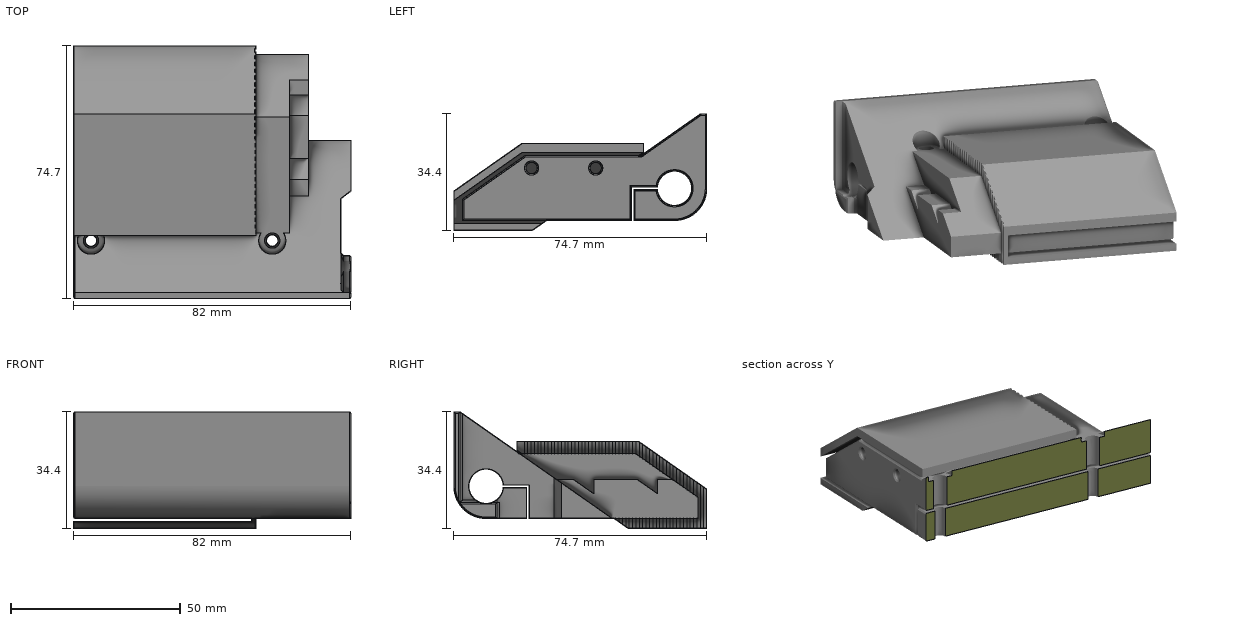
import cadquery as cq
import math

block_length = 82.0
cover_length = 53.9
total_depth = 74.7
total_height = 34.4
slope_rise = math.tan(math.radians(35.0))
edge_chamfer = 0.4

block_bottom = 2.95
block_top = 22.1
block_back = 72.2
rim_thickness = 1.8
ridge_y = 53.7
block_back_z = block_top - (block_back - ridge_y) * slope_rise

corner_radius = 9.5
bore_diameter = 10.2
bore_y = corner_radius
bore_z = block_bottom + corner_radius
slit_width = 0.7
slit_y = 21.9

tall_end = 63.8
ledge_end = 69.45
ledge_z = 14.5
groove_front_ys = [35.3, 54.1]
groove_length = 6.1

recess_x = 79.0
recess_floor = 7.6
recess_corner = 0.8
lug_back = 12.7
recess_back_inner = 29.5
recess_back_outer = 31.8

thread_diameter = 3.4
clearance_diameter = 4.5
spotface_diameter = 8.0
clamp_screw_xs = [5.2, 58.7]
clamp_screw_y = 17.1
side_hole_ys = [32.8, 51.75]
side_hole_z = 18.45
side_hole_depth = 9.8

cover_top = 25.75
cover_plate = 2.7
cover_ridge_y = 54.5
cover_front_y = 18.6
foot_plate = 2.05
wall_thickness = 1.2
wall_setback = 0.6
notch_count = 27
notch_pitch = 2.0
notch_width = 1.0
notch_depth = 0.3
first_notch_y = 73.3


def ramp_y(z):
    """Y of the front ramp plane at a given height."""
    return rim_thickness + (total_height - z) / slope_rise


def wall_front_y(z):
    """Y of the front edge of the cover's wall and foot plate at a given height."""
    return ramp_y(z) + wall_setback


def back_slope_y(z):
    """Y of the block's back slope at a given height."""
    return ridge_y + (block_top - z) / slope_rise


def prism(points, x_start, x_end):
    """Extrude a Y-Z outline from x_start to x_end."""
    return cq.Workplane("YZ", origin=(x_start, 0, 0)).polyline(points).close().extrude(x_end - x_start)


def box(x_range, y_range, z_range):
    """Axis-aligned box from its low and high limits."""
    size = [high - low for low, high in (x_range, y_range, z_range)]
    corner = (x_range[0], y_range[0], z_range[0])
    return cq.Workplane("XY").box(*size, centered=False).translate(corner)


def round_front_corner(body):
    """Round the lower front edge concentric with the clamp bore."""
    front_corner = cq.selectors.NearestToPointSelector((block_length / 2, 0, block_bottom))
    return body.edges("|X").edges(front_corner).fillet(corner_radius)


def bevel_points(level):
    """Small 45 degree triangle filling an inner corner of the recess at the given level."""
    return [
        (recess_x, level),
        (recess_x + recess_corner, level),
        (recess_x, level + recess_corner),
    ]


def make_tall_section():
    """Full-height profile with the front wall, ramp, flat top and back slope."""
    outline = [
        (0, block_bottom),
        (0, total_height),
        (rim_thickness, total_height),
        (ramp_y(block_top), block_top),
        (ridge_y, block_top),
        (block_back, block_back_z),
        (block_back, block_bottom),
    ]
    return prism(outline, 0, tall_end)


def make_ramp_wedge():
    """Wedge under the ramp, running the whole length of the block."""
    outline = [
        (0, block_bottom),
        (0, total_height),
        (rim_thickness, total_height),
        (ramp_y(block_bottom), block_bottom),
    ]
    return prism(outline, 0, block_length)


def make_ledge():
    """Low ledge between ramp and back slope, with sawtooth grooves that have an upright back side."""
    outline = [
        (ramp_y(ledge_z), block_bottom),
        (ramp_y(ledge_z), ledge_z),
        (back_slope_y(ledge_z), ledge_z),
        (block_back, block_back_z),
        (block_back, block_bottom),
    ]
    ledge = prism(outline, tall_end, ledge_end)
    for front in groove_front_ys:
        back = front + groove_length
        groove = [(front, ledge_z), (back, ledge_z), (back, ledge_z - groove_length * slope_rise)]
        ledge = ledge.cut(prism(groove, tall_end, ledge_end))
    return ledge


def make_clamp_cut():
    """Through bore and the L-shaped slit that frees the clamp jaw."""
    bore = (
        cq.Workplane("YZ")
        .center(bore_y, bore_z)
        .circle(bore_diameter / 2)
        .extrude(block_length)
    )
    half = slit_width / 2
    level_slit = box((0, block_length), (bore_y, slit_y + half), (bore_z - half, bore_z + half))
    upright_slit = box((0, block_length), (slit_y - half, slit_y + half), (block_bottom, bore_z + half))
    return bore.union(level_slit).union(upright_slit)


def make_recess():
    """Clearance that takes away the +X end of the ramp, up to a slanted back side."""
    plan = [
        (block_length, 0),
        (recess_x, 0),
        (recess_x, recess_back_inner),
        (block_length, recess_back_outer),
    ]
    return cq.Workplane("XY").polyline(plan).close().extrude(total_height)


def lug_outline(x):
    """Closed Y-Z outline of the lug in the plane at x."""
    return (
        cq.Workplane("YZ", origin=(x, 0, 0))
        .moveTo(0, bore_z)
        .radiusArc((bore_y, block_bottom), -corner_radius)
        .lineTo(lug_back, block_bottom)
        .lineTo(lug_back, recess_floor)
        .lineTo(rim_thickness, recess_floor)
        .lineTo(rim_thickness, total_height)
        .lineTo(0, total_height)
        .close()
    )


def make_lug():
    """L-shaped end piece in the recess: the front wall and a thick floor, bevelled into the block."""
    lug = lug_outline(recess_x).extrude(block_length - edge_chamfer - recess_x)
    lug = lug.union(lug_outline(block_length - edge_chamfer).extrude(edge_chamfer, taper=45))
    floor_bevel = (
        cq.Workplane("XZ", origin=(0, rim_thickness, 0))
        .polyline(bevel_points(recess_floor))
        .close()
        .extrude(rim_thickness - lug_back)
    )
    front_bevel = (
        cq.Workplane("XY", origin=(0, 0, recess_floor))
        .polyline(bevel_points(rim_thickness))
        .close()
        .extrude(total_height - recess_floor)
        .intersect(make_ramp_wedge())
    )
    back_bevel = (
        cq.Workplane("XY", origin=(0, 0, block_bottom))
        .polyline(bevel_points(lug_back))
        .close()
        .extrude(recess_floor - block_bottom)
    )
    return lug.union(floor_bevel).union(front_bevel).union(back_bevel)


def cylinder(diameter, z_start, z_end):
    """Upright cylinder on the Z axis."""
    return cq.Workplane("XY", origin=(0, 0, z_start)).circle(diameter / 2).extrude(z_end - z_start)


def make_clamp_screw_cut():
    """Spotface level with the flat top, clearance hole down to the slit, thread hole through the jaw."""
    spotface = cylinder(spotface_diameter, block_top, total_height)
    clearance = cylinder(clearance_diameter, bore_z, block_top)
    thread = cylinder(thread_diameter, block_bottom, bore_z)
    return spotface.union(clearance).union(thread)


def make_side_hole():
    """Blind thread hole along +X from the origin, with a bevelled mouth."""
    radius = thread_diameter / 2
    half_outline = [
        (0, 0),
        (0, radius + edge_chamfer),
        (edge_chamfer, radius),
        (side_hole_depth, radius),
        (side_hole_depth, 0),
    ]
    return cq.Workplane("XY").polyline(half_outline).close().revolve(360, (0, 0, 0), (1, 0, 0))


def make_wall_region():
    """Space of the cover's inner wall: from just behind the ramp to the back."""
    outline = [
        (wall_front_y(0), 0),
        (wall_front_y(cover_top - cover_plate), cover_top - cover_plate),
        (cover_ridge_y, cover_top - cover_plate),
        (total_depth, cover_top - cover_plate - (total_depth - cover_ridge_y) * slope_rise),
        (total_depth, 0),
    ]
    return prism(outline, cover_length - wall_thickness, cover_length)


def make_block():
    """Clamp block with its bore, slit, screw holes and the slot for the cover's wall."""
    block = make_tall_section().union(make_ramp_wedge()).union(make_ledge())
    block = round_front_corner(block)
    block = block.cut(make_recess()).union(make_lug()).cut(make_clamp_cut())
    block = block.faces("<X").edges().chamfer(edge_chamfer)
    for x in clamp_screw_xs:
        block = block.cut(make_clamp_screw_cut().translate((x, clamp_screw_y, 0)))
    for y in side_hole_ys:
        block = block.cut(make_side_hole().translate((0, y, side_hole_z)))
    return block.cut(make_wall_region())


def make_cover():
    """Folded top plate and foot plate joined by a wall, with a row of notches along the wall side."""
    back_z = cover_top - (total_depth - cover_ridge_y) * slope_rise
    top_outline = [
        (cover_front_y, cover_top - cover_plate),
        (cover_front_y, cover_top),
        (cover_ridge_y, cover_top),
        (total_depth, back_z),
        (total_depth, back_z - cover_plate),
        (cover_ridge_y, cover_top - cover_plate),
    ]
    foot_outline = [
        (wall_front_y(0), 0),
        (wall_front_y(foot_plate), foot_plate),
        (total_depth, foot_plate),
        (total_depth, 0),
    ]
    cover = (
        prism(top_outline, 0, cover_length)
        .union(prism(foot_outline, 0, cover_length))
        .union(make_wall_region())
    )
    for index in range(notch_count):
        center_y = first_notch_y - index * notch_pitch
        notch = box(
            (cover_length - notch_depth, cover_length),
            (center_y - notch_width / 2, center_y + notch_width / 2),
            (0, cover_top),
        )
        cover = cover.cut(notch)
    return cover


block = make_block()
cover = make_cover()
result = cq.Compound.makeCompound([block.val(), cover.val()])